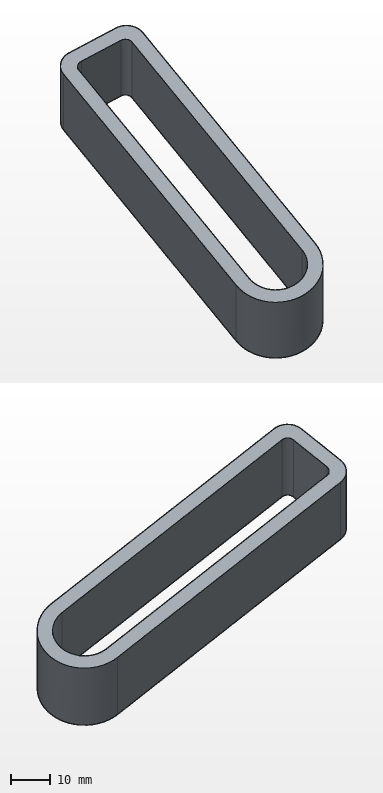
import cadquery as cq

length = 97.2
width = 24.2
height = 24.0

wall = 4.0
outer_corner_radius = 5.0
inner_corner_radius = 2.0


def d_prism(inset, corner_radius):
    """Prism with a rounded-corner flat end at -X and a half-round end at +X."""
    end_radius = width / 2 - inset
    flat_end_x = -length / 2 + inset
    arc_center_x = length / 2 - width / 2
    return (
        cq.Workplane("XY")
        .moveTo(flat_end_x, -end_radius)
        .lineTo(arc_center_x, -end_radius)
        .threePointArc((arc_center_x + end_radius, 0), (arc_center_x, end_radius))
        .lineTo(flat_end_x, end_radius)
        .close()
        .extrude(height)
        .edges("|Z and <X")
        .fillet(corner_radius)
    )


outer_body = d_prism(0, outer_corner_radius)
through_opening = d_prism(wall, inner_corner_radius)
result = outer_body.cut(through_opening)